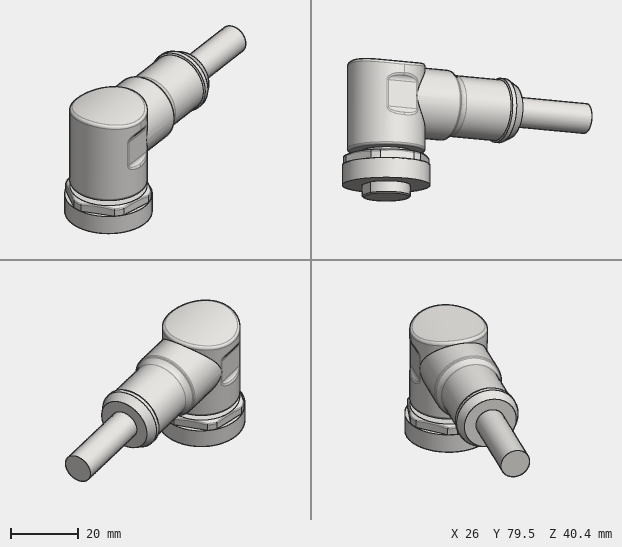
import cadquery as cq
import math


neck_radius = 7.15
neck_top = 14.3
plug_chamfer = 0.4
plug_flat_offset = 6.7

nut_diameter = 26.0
nut_radius = nut_diameter / 2
nut_bottom = 3.6
hex_bottom = 9.55
nut_top = 12.4
hex_corner_radius = 12.9
hex_across_flats = 23.6
hex_sides = 6
hex_turn = 18.0
nut_chamfer_inner_radius = 11.45
nut_chamfer_drop = 0.55
nut_edge_round = 0.4

head_radius = 11.5
head_bottom = 13.8
head_top = 40.4
dome_radius = 42.9
head_top_round = 0.95
head_bottom_round = 0.7

recess_offset = 10.4
recess_flat_height = 7.95
recess_ramp_radius = 2.1
recess_edge_round = 1.0

outlet_height = 29.25
outlet_start = 4.8
shell_radius = 10.4
grip_radius = 9.1
collar_radius = 9.55
nose_radius = 8.0
shell_end = 19.5
shell_edge_round = 0.55
grip_fillet = 3.2
collar_start = 37.0
collar_chamfer = 0.3
nose_start = 38.6
nose_end = 41.5
cable_radius = 4.45
overall_length = 79.5
cable_end = overall_length - nut_radius


def make_plug():
    """Contact carrier below the nut, flattened on the -Y side, with a round neck up to the head."""
    plug = cq.Workplane("XY").circle(neck_radius).extrude(hex_bottom)
    flat = cq.Workplane("XY").box(
        2 * neck_radius, 2 * neck_radius, hex_bottom, centered=(True, False, False)
    )
    plug = plug.intersect(flat.translate((0, -plug_flat_offset, 0)))
    plug = plug.faces("<Z").chamfer(plug_chamfer)
    neck = cq.Workplane("XY").workplane(offset=hex_bottom).circle(neck_radius)
    return plug.union(neck.extrude(neck_top - hex_bottom))


def make_nut():
    """Round nut body with a round-cornered, chamfered hexagon on top."""
    body = cq.Workplane("XY").workplane(offset=nut_bottom).circle(nut_radius)
    body = body.extrude(hex_bottom - nut_bottom)

    hexagon = cq.Workplane("XY").workplane(offset=hex_bottom)
    hexagon = hexagon.polygon(hex_sides, hex_across_flats / math.cos(math.pi / hex_sides))
    hexagon = hexagon.extrude(nut_top - hex_bottom)
    hexagon = hexagon.rotate((0, 0, 0), (0, 0, 1), hex_turn)

    blank = (
        cq.Workplane("XZ")
        .moveTo(0, hex_bottom)
        .lineTo(hex_corner_radius, hex_bottom)
        .lineTo(hex_corner_radius, nut_top - nut_chamfer_drop)
        .lineTo(nut_chamfer_inner_radius, nut_top)
        .lineTo(0, nut_top)
        .close()
        .revolve(360, (0, 0, 0), (0, 1, 0))
    )
    crown = hexagon.intersect(blank)
    rim_box = cq.selectors.BoxSelector(
        (-nut_radius, -nut_radius, nut_top - 2 * nut_chamfer_drop),
        (nut_radius, nut_radius, nut_top - nut_chamfer_drop / 10),
    )
    crown = crown.edges(rim_box).fillet(nut_edge_round)
    return body.union(crown)


def make_head():
    """Upright cylinder whose top is curved across X, with rounded rims."""
    head = cq.Workplane("XY").workplane(offset=head_bottom).circle(head_radius)
    head = head.extrude(head_top - head_bottom)
    dome = cq.Workplane("XZ").center(0, head_top - dome_radius).circle(dome_radius)
    head = head.intersect(dome.extrude(head_radius, both=True))
    head = head.faces("<Z").edges().fillet(head_bottom_round)
    return head.edges(">Z").fillet(head_top_round)


def make_recess(side):
    """Cutter for the flat recess on one X side, with ramps curving outward at both ends."""
    half_flat = recess_flat_height / 2
    ramp_end = recess_offset + recess_ramp_radius
    half_opening = half_flat + recess_ramp_radius
    ramp_mid_x = ramp_end - recess_ramp_radius * math.cos(math.pi / 4)
    ramp_mid_z = half_flat + recess_ramp_radius * math.sin(math.pi / 4)
    return (
        cq.Workplane("XZ", origin=(0, 0, outlet_height))
        .moveTo(side * recess_offset, -half_flat)
        .lineTo(side * recess_offset, half_flat)
        .threePointArc((side * ramp_mid_x, ramp_mid_z), (side * ramp_end, half_opening))
        .lineTo(side * ramp_end, -half_opening)
        .threePointArc((side * ramp_mid_x, -ramp_mid_z), (side * recess_offset, -half_flat))
        .close()
        .extrude(head_radius, both=True)
    )


def round_recess_rims(head):
    """Round the rims where the recesses break through the head's side."""
    half_rim = recess_flat_height / 2 + recess_ramp_radius
    for side in (-1, 1):
        near = side * (recess_offset - recess_edge_round / 10)
        far = side * (head_radius + recess_edge_round)
        rim_box = cq.selectors.BoxSelector(
            (min(near, far), -head_radius, outlet_height - half_rim),
            (max(near, far), head_radius, outlet_height + half_rim),
        )
        rim = head.edges(rim_box).edges("not(|Y)")
        head = rim.fillet(recess_edge_round)
    return head


def make_outlet():
    """Turned outlet body: shell, stepped grip, collar and tapered nose, followed by the cable."""
    step = shell_radius - grip_radius
    profile = (
        cq.Workplane("XY")
        .moveTo(0, outlet_start)
        .lineTo(shell_radius, outlet_start)
        .lineTo(shell_radius, shell_end)
        .lineTo(grip_radius, shell_end + step)
        .lineTo(grip_radius, collar_start)
        .lineTo(collar_radius, collar_start + collar_chamfer)
        .lineTo(collar_radius, nose_start)
        .lineTo(nose_radius, nose_end)
        .lineTo(0, nose_end)
        .close()
    )
    body = profile.revolve(360, (0, 0, 0), (0, 1, 0))
    shoulder = cq.selectors.NearestToPointSelector((0, shell_end, 0))
    body = body.edges(shoulder).fillet(shell_edge_round)
    root = cq.selectors.NearestToPointSelector((0, shell_end + step, 0))
    body = body.edges(root).fillet(grip_fillet)
    cable = cq.Workplane("XZ").circle(cable_radius).extrude(-cable_end)
    return body.union(cable).translate((0, 0, outlet_height))


head = make_head()
for side in (-1, 1):
    head = head.cut(make_recess(side))
head = round_recess_rims(head)

result = make_plug().union(make_nut()).union(head).union(make_outlet())